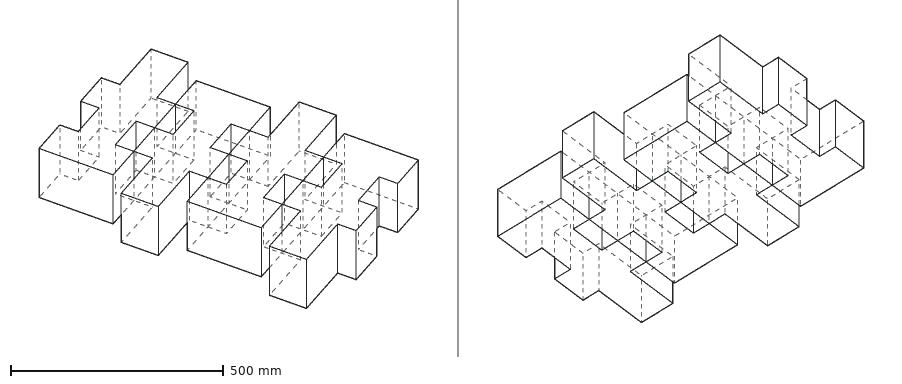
import cadquery as cq

total_length = 800.0
block_count = 4

block_width = total_length / block_count
bar_depth = block_width / 2
stem_width = block_width / 2
stem_overhang = 1.5 * bar_depth
block_height = 1.5 * bar_depth


def make_block(center_x, flipped):
    """Block with a central stem, a bar across one end and a second bar further along.

    The inner bar ends on the X axis, so flipped neighbours meet it along a vertical edge.
    """
    stem_length = 3 * bar_depth + stem_overhang
    end_bar_start = -2 * bar_depth
    inner_bar_start = 0.0

    def prism(width, start_y, depth):
        return (
            cq.Workplane("XY")
            .box(width, depth, block_height, centered=(True, False, False))
            .translate((0, start_y, 0))
        )

    block = prism(stem_width, end_bar_start, stem_length)
    for bar_start in (end_bar_start, inner_bar_start):
        block = block.union(prism(block_width, bar_start, bar_depth))
    if flipped:
        block = block.rotate((0, 0, 0), (0, 0, 1), 180)
    return block.translate((center_x, 0, 0))


blocks = []
for index in range(block_count):
    center_x = (index + 0.5) * block_width - total_length / 2
    blocks.append(make_block(center_x, flipped=index % 2 == 1))

result = cq.Compound.makeCompound([block.val() for block in blocks])